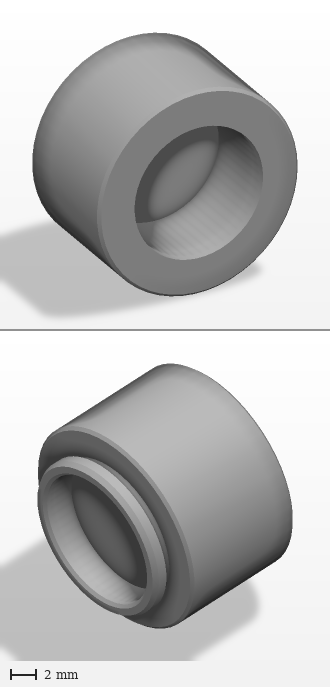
import cadquery as cq

overall_length = 12.95
barrel_diameter = 17.78
barrel_length = 10.92
barrel_chamfer = 0.25

collar_radius = 6.8
collar_width = 1.25
collar_chamfer_length = 0.45
collar_chamfer_height = 0.25
neck_radius = 6.3

bore_radius = 5.69
bore_chamfer = 0.25

lens_depth = 2.81
lens_thickness = 3.0

barrel_radius = barrel_diameter / 2
spigot_end = -overall_length / 2
barrel_end = overall_length / 2
shoulder = barrel_end - barrel_length
collar_end = spigot_end + collar_width


def make_housing():
    """Turned tube: half section between bore and outside, revolved about the X axis."""
    half_section = [
        (spigot_end, bore_radius + bore_chamfer),
        (spigot_end, collar_radius - collar_chamfer_height),
        (spigot_end + collar_chamfer_length, collar_radius),
        (collar_end, collar_radius),
        (collar_end, neck_radius),
        (shoulder, neck_radius),
        (shoulder, barrel_radius - barrel_chamfer),
        (shoulder + barrel_chamfer, barrel_radius),
        (barrel_end - barrel_chamfer, barrel_radius),
        (barrel_end, barrel_radius - barrel_chamfer),
        (barrel_end, bore_radius),
        (spigot_end + bore_chamfer, bore_radius),
    ]
    return cq.Workplane("XY").polyline(half_section).close().revolve(360, (0, 0, 0), (1, 0, 0))


def make_lens():
    """Flat disc that fills the bore, with its face set back from the spigot end."""
    lens_plane = cq.Workplane("YZ", origin=(spigot_end + lens_depth, 0, 0))
    return lens_plane.circle(bore_radius).extrude(lens_thickness)


housing = make_housing()
lens = make_lens()

result = cq.Compound.makeCompound([housing.val(), lens.val()])